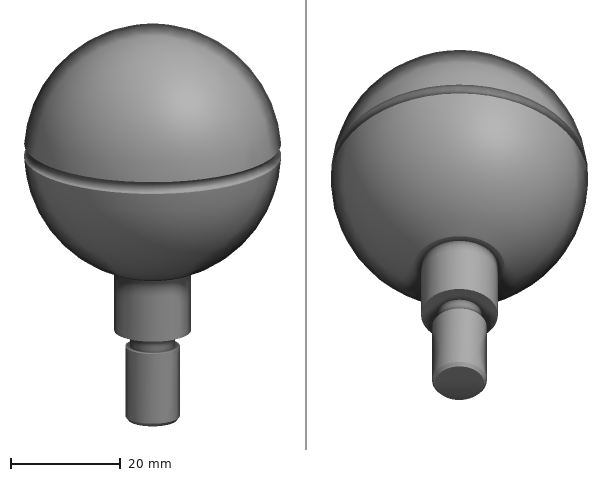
import cadquery as cq
import math

total_height = 74.5
ball_diameter = 47.0
collar_diameter = 14.0
collar_length = 12.0
neck_diameter = 8.3
neck_length = 3.0
pin_diameter = 10.0
pin_length = 14.0
pin_chamfer_width = 0.5
pin_chamfer_height = 0.7
groove_width = 2.2
groove_depth = 1.05
groove_middle_above_center = 0.5

neck_base = pin_length
collar_base = neck_base + neck_length
ball_base = collar_base + collar_length
ball_radius = ball_diameter / 2
ball_center = total_height - ball_radius
groove_middle = ball_center + groove_middle_above_center


def ball_radius_at(z):
    """Distance from the axis to the ball's surface at height z."""
    return math.sqrt(ball_radius**2 - (z - ball_center) ** 2)


def make_ball():
    """Ball cut flat where it sits on the collar."""
    ball_height = total_height - ball_base
    stock = (
        cq.Workplane("XY")
        .workplane(offset=ball_base)
        .circle(ball_radius)
        .extrude(ball_height)
    )
    sphere = cq.Workplane("XY").sphere(ball_radius).translate((0, 0, ball_center))
    return sphere.intersect(stock)


def make_groove():
    """Ring with a round bottom, running around the ball near its equator."""
    half_width = groove_width / 2
    lower_edge = groove_middle - half_width
    upper_edge = groove_middle + half_width
    outer_radius = ball_radius + groove_depth
    return (
        cq.Workplane("XZ")
        .moveTo(outer_radius, lower_edge)
        .lineTo(ball_radius_at(lower_edge), lower_edge)
        .threePointArc(
            (ball_radius_at(groove_middle) - groove_depth, groove_middle),
            (ball_radius_at(upper_edge), upper_edge),
        )
        .lineTo(outer_radius, upper_edge)
        .close()
        .revolve(360, (0, 0, 0), (0, 1, 0))
    )


def make_stem():
    """Collar, undercut neck and chamfered pin as one turned profile."""
    collar_radius = collar_diameter / 2
    neck_radius = neck_diameter / 2
    pin_radius = pin_diameter / 2
    return (
        cq.Workplane("XZ")
        .lineTo(pin_radius - pin_chamfer_width, 0)
        .lineTo(pin_radius, pin_chamfer_height)
        .lineTo(pin_radius, neck_base)
        .lineTo(neck_radius, neck_base)
        .lineTo(neck_radius, collar_base)
        .lineTo(collar_radius, collar_base)
        .lineTo(collar_radius, ball_base)
        .lineTo(0, ball_base)
        .close()
        .revolve(360, (0, 0, 0), (0, 1, 0))
    )


result = make_ball().cut(make_groove()).union(make_stem())